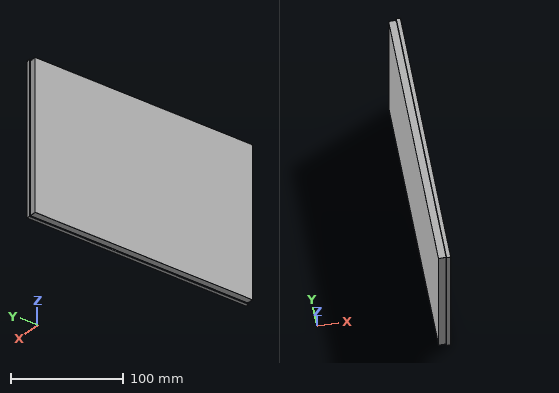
import cadquery as cq

LENGTH = 246.8
HEIGHT = 164.5
THICKNESS = 11.0

FRONT_THICKNESS = 7.0
GAP = 0.2
BACK_THICKNESS = THICKNESS - FRONT_THICKNESS - GAP
EDGE_STEP = 1.0


def plate(thickness, length, height, start_x):
    """Upright rectangular plate centred in Y and Z, starting at start_x."""
    return (
        cq.Workplane("XY")
        .box(thickness, length, height, centered=(False, True, True))
        .translate((start_x, 0, 0))
    )


front_plate = plate(FRONT_THICKNESS, LENGTH - 2 * EDGE_STEP, HEIGHT - 2 * EDGE_STEP, 0)

back_plate = plate(BACK_THICKNESS, LENGTH, HEIGHT, FRONT_THICKNESS + GAP)

result = cq.Compound.makeCompound([front_plate.val(), back_plate.val()])